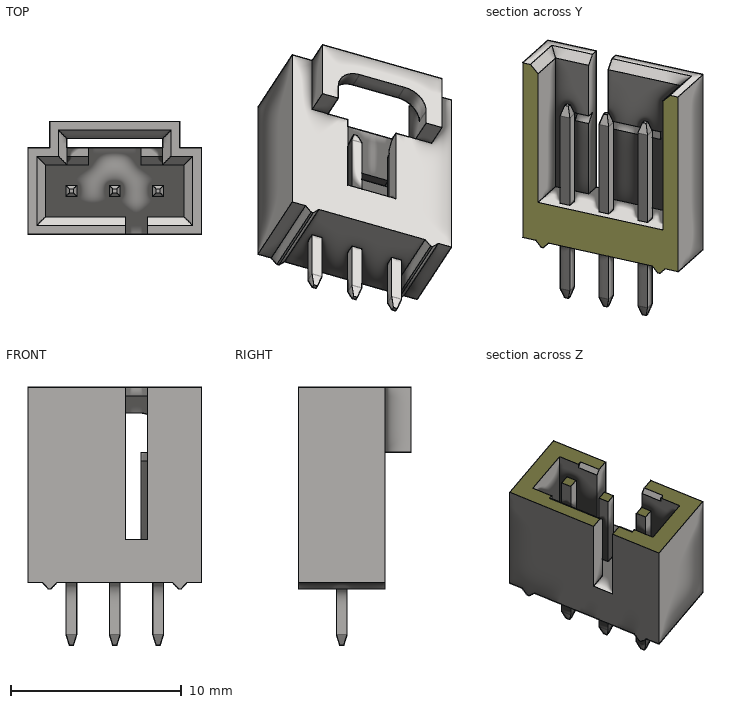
import cadquery as cq

pitch = 2.54
pin_count = 3
body_width = (pin_count + 1) * pitch
body_depth = 2 * pitch
body_height = 11.44
floor_thickness = pitch

wall = 1.01
lead_in = 0.5

tab_width = pin_count * pitch
tab_depth = 1.53
tab_bottom = 7.63
tab_window_top = 9.93
tab_window_radius = 1.36

key_slot_width = pitch / 2
key_slot_x = pitch / 2
rear_gap_width = 3.05

ridge_x = 1.5 * pitch
ridge_height = 0.38
ridge_base = 0.85
ridge_tip = 0.14

pin_size = 0.63
pin_point_size = 0.24
pin_point_length = 0.63
pin_below = 3.67
pin_rise = 2.5 * pitch

rear_y = body_depth / 2
front_y = -rear_y
tab_rear_y = rear_y + tab_depth
cavity_width = body_width - 2 * wall
cavity_rear_y = rear_y - wall
cavity_front_y = front_y + wall
tab_cavity_width = tab_width - 2 * wall
tab_cavity_rear_y = tab_rear_y - wall
pin_top = floor_thickness + pin_rise


def block(width, y_min, y_max, z_min, z_max, x_center=0):
    """Box centred on x_center and spanning the given Y and Z ranges."""
    return (
        cq.Workplane("XY", origin=(x_center, (y_min + y_max) / 2, z_min))
        .rect(width, y_max - y_min)
        .extrude(z_max - z_min)
    )


def flared_pocket(width, y_min, y_max, z_min, z_max):
    """Rectangular pocket whose mouth widens by the lead-in on every side."""
    y_center = (y_min + y_max) / 2
    depth = y_max - y_min
    flare = (
        cq.Workplane("XY", origin=(0, y_center, z_max - lead_in))
        .rect(width, depth)
        .workplane(offset=lead_in)
        .rect(width + 2 * lead_in, depth + 2 * lead_in)
        .loft(ruled=True)
    )
    return block(width, y_min, y_max, z_min, z_max).union(flare)


def make_housing():
    """Open-topped box with the latch tab and its cavities."""
    body = block(body_width, front_y, rear_y, 0, body_height)
    tab = block(tab_width, cavity_rear_y, tab_rear_y, tab_bottom, body_height)
    main_cavity = flared_pocket(cavity_width, cavity_front_y, cavity_rear_y, floor_thickness, body_height)
    ledge_flare = flared_pocket(tab_cavity_width, cavity_front_y, cavity_rear_y, floor_thickness, tab_bottom)
    tab_cavity_span = block(tab_cavity_width, front_y, rear_y, 0, body_height)
    ledge_bevel = ledge_flare.intersect(tab_cavity_span)
    tab_cavity = flared_pocket(tab_cavity_width, 0, tab_cavity_rear_y, tab_bottom, body_height)
    return body.union(tab).cut(main_cavity).cut(ledge_bevel).cut(tab_cavity)


def make_tab_window():
    """Opening in the tab's rear wall, rounded at its upper corners and open below."""
    window = block(tab_cavity_width, rear_y, tab_rear_y, tab_bottom, tab_window_top)
    return window.edges("|Y and >Z").fillet(tab_window_radius)


def make_key_slot():
    """Off-centre slot in the front wall, open at the top."""
    return block(key_slot_width, front_y, cavity_front_y, floor_thickness, body_height, key_slot_x)


def make_rear_gap():
    """Central gap in the rear wall below the tab."""
    return block(rear_gap_width, cavity_rear_y, rear_y, floor_thickness, tab_bottom)


def make_ridge(x):
    """Trapezoidal standoff ridge hanging from the underside."""
    return (
        cq.Workplane("XZ", origin=(x, rear_y, 0))
        .polyline([
            (-ridge_base / 2, 0),
            (-ridge_tip / 2, -ridge_height),
            (ridge_tip / 2, -ridge_height),
            (ridge_base / 2, 0),
        ])
        .close()
        .extrude(body_depth)
    )


def make_pin_point(x, z_start, z_tip):
    """Tapered pin end from the full section at z_start to the blunt tip at z_tip."""
    return (
        cq.Workplane("XY", origin=(x, 0, z_start))
        .rect(pin_size, pin_size)
        .workplane(offset=z_tip - z_start)
        .rect(pin_point_size, pin_point_size)
        .loft(ruled=True)
    )


def make_pin(x):
    """Square pin passing through the floor, pointed at both ends."""
    shank_bottom = pin_point_length - pin_below
    shank_top = pin_top - pin_point_length
    shank = block(pin_size, -pin_size / 2, pin_size / 2, shank_bottom, shank_top, x)
    lower_point = make_pin_point(x, shank_bottom, -pin_below)
    upper_point = make_pin_point(x, shank_top, pin_top)
    return shank.union(lower_point).union(upper_point)


result = make_housing().cut(make_tab_window()).cut(make_key_slot()).cut(make_rear_gap())

for side in (-1, 1):
    result = result.union(make_ridge(side * ridge_x))

for index in range(pin_count):
    pin_x = (index - (pin_count - 1) / 2) * pitch
    result = result.union(make_pin(pin_x))